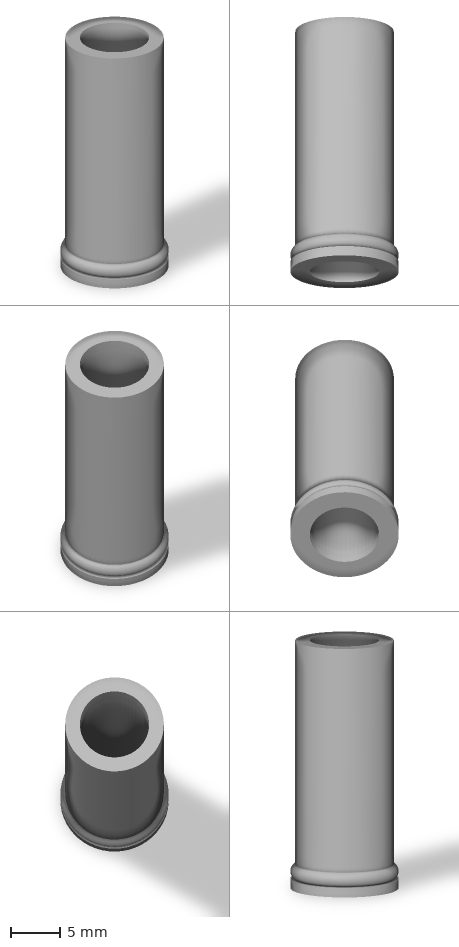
import cadquery as cq

length = 25.5
bore_diameter = 7.0
tube_diameter = 10.0
collar_diameter = 11.0
flange_height = 1.0
bead_height = 1.5

bore_radius = bore_diameter / 2
tube_radius = tube_diameter / 2
collar_radius = collar_diameter / 2
bead_middle = flange_height + bead_height / 2
bead_top = flange_height + bead_height

half_section = (
    cq.Workplane("XZ")
    .moveTo(bore_radius, 0)
    .lineTo(collar_radius, 0)
    .lineTo(collar_radius, flange_height)
    .lineTo(tube_radius, flange_height)
    .threePointArc((collar_radius, bead_middle), (tube_radius, bead_top))
    .lineTo(tube_radius, length)
    .lineTo(bore_radius, length)
    .close()
)

result = half_section.revolve(360, (0, 0, 0), (0, 1, 0))